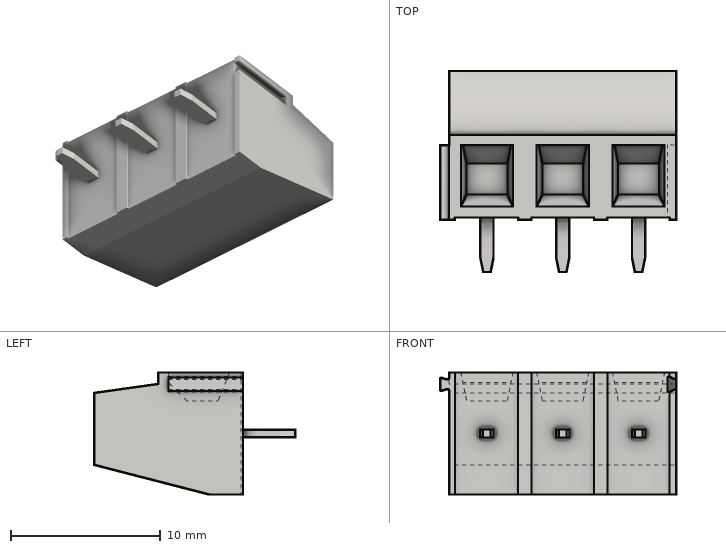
import cadquery as cq


POLE_COUNT = 3

TOTAL_LENGTH = 15.84
TOTAL_DEPTH = 13.5
HEIGHT = 8.2

RAIL_REACH = 0.6
HOUSING_LENGTH = TOTAL_LENGTH - RAIL_REACH
HOUSING_DEPTH = 10.0
PITCH = HOUSING_LENGTH / POLE_COUNT
POLE_CENTERS = [(i + 0.5) * PITCH for i in range(POLE_COUNT)]
RAISED_TOP_DEPTH = 5.7
SLOPE_FRONT_DROP = 0.78
SLOPE_BACK_DROP = 1.38
FLAT_BOTTOM_DEPTH = 2.25
BACK_BOTTOM_RISE = 2.0

RECESS_DEPTH = 0.16
RIB_WIDTH = 0.9
LEFT_RIB_WIDTH = 0.4

OPENING_WIDTH = 3.5
OPENING_FRONT = 0.9
OPENING_BACK = 5.02
FLOOR_WIDTH = 2.72
FLOOR_FRONT = 1.7
FLOOR_BACK = 3.77
FUNNEL_DEPTH = 1.92
BACK_WALL_DEPTH = 0.68

PIN_WIDTH = 0.9
PIN_THICKNESS = 0.5
PIN_TIP_WIDTH = 0.5
PIN_TAPER_LENGTH = 0.98
PIN_HEIGHT = 4.1
PIN_TIP_Y = HOUSING_DEPTH - TOTAL_DEPTH

DOVETAIL_DROP = 0.8
DOVETAIL_HEIGHT = HEIGHT - DOVETAIL_DROP
DOVETAIL_LENGTH = OPENING_BACK
ROOT_HALF_HEIGHT = 0.29
RAIL_TIP_HALF_HEIGHT = 0.48
GROOVE_TIP_HALF_HEIGHT = 0.57
TIP_RADIUS = 0.1
ROOT_RADIUS = 0.13


def make_housing():
    """Side profile extruded along the row of poles."""
    return (
        cq.Workplane("YZ")
        .moveTo(0, 0)
        .lineTo(FLAT_BOTTOM_DEPTH, 0)
        .lineTo(HOUSING_DEPTH, BACK_BOTTOM_RISE)
        .lineTo(HOUSING_DEPTH, HEIGHT - SLOPE_BACK_DROP)
        .lineTo(RAISED_TOP_DEPTH, HEIGHT - SLOPE_FRONT_DROP)
        .lineTo(RAISED_TOP_DEPTH, HEIGHT)
        .lineTo(0, HEIGHT)
        .close()
        .extrude(HOUSING_LENGTH)
    )


def make_front_recess(pole):
    """Full-height recess in front of one pole, between two ribs."""
    left = LEFT_RIB_WIDTH if pole == 0 else pole * PITCH + RIB_WIDTH / 2
    right = (pole + 1) * PITCH - RIB_WIDTH / 2
    block = cq.Workplane("XY").box(right - left, RECESS_DEPTH, HEIGHT, centered=False)
    return block.translate((left, 0, 0))


def make_funnel(center_x):
    """Opening with tapered sides whose back wall is upright before it slopes to the floor."""
    floor_z = HEIGHT - FUNNEL_DEPTH
    side_profile = (
        cq.Workplane("YZ", origin=(center_x, 0, 0))
        .moveTo(OPENING_FRONT, HEIGHT)
        .lineTo(FLOOR_FRONT, floor_z)
        .lineTo(FLOOR_BACK, floor_z)
        .lineTo(OPENING_BACK, HEIGHT - BACK_WALL_DEPTH)
        .lineTo(OPENING_BACK, HEIGHT)
        .close()
        .extrude(OPENING_WIDTH / 2, both=True)
    )
    front_profile = (
        cq.Workplane("XZ")
        .moveTo(center_x - OPENING_WIDTH / 2, HEIGHT)
        .lineTo(center_x - FLOOR_WIDTH / 2, floor_z)
        .lineTo(center_x + FLOOR_WIDTH / 2, floor_z)
        .lineTo(center_x + OPENING_WIDTH / 2, HEIGHT)
        .close()
        .extrude(-HOUSING_DEPTH)
    )
    return side_profile.intersect(front_profile)


def make_pin(center_x):
    """Flat pin with a tapered tip, rooted in the recessed front face."""
    half_width = PIN_WIDTH / 2
    half_tip = PIN_TIP_WIDTH / 2
    taper_start = PIN_TIP_Y + PIN_TAPER_LENGTH
    return (
        cq.Workplane("XY", origin=(center_x, 0, PIN_HEIGHT))
        .moveTo(-half_width, RECESS_DEPTH)
        .lineTo(-half_width, taper_start)
        .lineTo(-half_tip, PIN_TIP_Y)
        .lineTo(half_tip, PIN_TIP_Y)
        .lineTo(half_width, taper_start)
        .lineTo(half_width, RECESS_DEPTH)
        .close()
        .extrude(PIN_THICKNESS / 2, both=True)
    )


def make_dovetail(root_x, tip_half_height):
    """Bar along Y that flares toward its -X side, with rounded tip corners."""
    tip_x = root_x - RAIL_REACH
    return (
        cq.Workplane("XZ", origin=(0, 0, DOVETAIL_HEIGHT))
        .moveTo(root_x, -ROOT_HALF_HEIGHT)
        .lineTo(tip_x, -tip_half_height)
        .lineTo(tip_x, tip_half_height)
        .lineTo(root_x, ROOT_HALF_HEIGHT)
        .close()
        .extrude(-DOVETAIL_LENGTH)
        .edges("|Y and <X")
        .fillet(TIP_RADIUS)
    )


def near_root(root_x):
    """Selector for the two long edges where a dovetail meets an end face."""
    margin = 0.02
    return cq.selectors.BoxSelector(
        (root_x - margin, -margin, DOVETAIL_HEIGHT - ROOT_HALF_HEIGHT - margin),
        (root_x + margin, DOVETAIL_LENGTH + margin, DOVETAIL_HEIGHT + ROOT_HALF_HEIGHT + margin),
    )


result = make_housing()
result = result.union(make_dovetail(0, RAIL_TIP_HALF_HEIGHT))
result = result.cut(make_dovetail(HOUSING_LENGTH, GROOVE_TIP_HALF_HEIGHT))
for end_x in (0, HOUSING_LENGTH):
    result = result.edges("|Y").edges(near_root(end_x)).fillet(ROOT_RADIUS)

for pole, center_x in enumerate(POLE_CENTERS):
    result = result.cut(make_front_recess(pole))
    result = result.cut(make_funnel(center_x))
    result = result.union(make_pin(center_x))